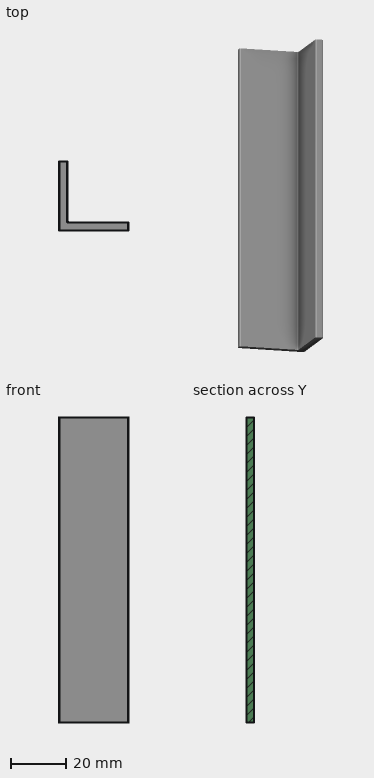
import cadquery as cq

leg = 25.0
thickness = 3.0
length = 110.0
edge_radius = 0.5


def angle_bar():
    """L-shaped bar with its outer corner at the origin and legs along +X and +Y."""
    outline = [
        (0, 0),
        (leg, 0),
        (leg, thickness),
        (thickness, thickness),
        (thickness, leg),
        (0, leg),
    ]
    return cq.Workplane("XY").polyline(outline).close().extrude(length)


def round_long_edges(bar):
    """Round all six long edges, the inner corner included; the cut ends stay sharp."""
    return bar.edges("|Z").fillet(edge_radius)


result = round_long_edges(angle_bar())